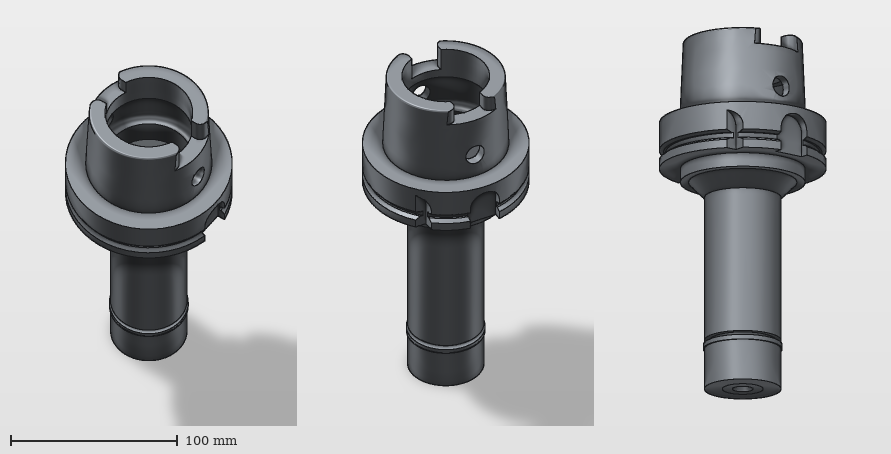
import cadquery as cq

TOTAL_HEIGHT = 215.0

TAPER_LENGTH = 50.0
TAPER_BASE_RADIUS = 37.8
TAPER_RIM_RADIUS = 35.7
RIM_FILLET = 1.5
MOUTH_RADIUS = 26.2
MOUTH_DEPTH = 20.6
CHAMBER_RADIUS = 31.5
CHAMBER_WALL_DEPTH = 40.5
BORE_DEPTH = 61.0
CROSS_HOLE_RADIUS = 6.2
CROSS_HOLE_DEPTH = 34.8

NOTCH_HALF_WIDTH = 9.9
NOTCH_CORNER_RADIUS = 4.5
NOTCH_FLAT_X = 32.0
NOTCH_FLAT_HALF_WIDTH = 19.4
LEFT_NOTCH_DEPTH = 9.9
RIGHT_NOTCH_DEPTH = 15.0

FLANGE_DIAMETER = 100.0
FLANGE_RADIUS = FLANGE_DIAMETER / 2
FLANGE_HEIGHT = 28.4
FLANGE_TOP_Z = TOTAL_HEIGHT - TAPER_LENGTH
FLANGE_BOTTOM_Z = FLANGE_TOP_Z - FLANGE_HEIGHT
GROOVE_RADIUS = 46.2
GROOVE_SLOPE_RADIUS = 47.5
GROOVE_TOP_Z = FLANGE_TOP_Z - 17.0
GROOVE_BOTTOM_Z = FLANGE_BOTTOM_Z + 5.2
GROOVE_UPPER_SLOPE = 1.3
GROOVE_LOWER_SLOPE = 1.7

KEYWAY_HALF_WIDTH = 9.9
KEYWAY_CROWN_Z = FLANGE_TOP_Z - 4.5
KEYWAY_FLOOR_X = 44.0
SIDE_KEYWAY_FLOOR_X = 32.2
SIDE_KEYWAY_Y = 41.0

COLLAR_RADIUS = 37.5
COLLAR_HEIGHT = 8.4
COLLAR_BOTTOM_Z = FLANGE_BOTTOM_Z - COLLAR_HEIGHT
SHANK_RADIUS = 23.0
CONE_HEIGHT = 9.5
CONE_TOP_RADIUS = SHANK_RADIUS + CONE_HEIGHT
SHANK_BOTTOM_Z = 30.0
NECK_RADIUS = 19.8
NECK_BOTTOM_Z = 8.5

NUT_RADIUS = SHANK_RADIUS
NUT_HEIGHT = 27.5
NUT_RIM_RADIUS = 23.6
NUT_RIM_HEIGHT = 2.8

COLLET_RADIUS = 12.3
COLLET_BORE_RADIUS = 6.2
COLLET_LENGTH = 40.0


def cylinder(radius, bottom_z, top_z):
    """Upright cylinder on the Z axis."""
    return cq.Workplane("XY").workplane(offset=bottom_z).circle(radius).extrude(top_z - bottom_z)


def turned_holder():
    """Outside of the holder, revolved from its half outline."""
    outline = [
        (0, NECK_BOTTOM_Z),
        (NECK_RADIUS, NECK_BOTTOM_Z),
        (NECK_RADIUS, SHANK_BOTTOM_Z),
        (SHANK_RADIUS, SHANK_BOTTOM_Z),
        (SHANK_RADIUS, COLLAR_BOTTOM_Z - CONE_HEIGHT),
        (CONE_TOP_RADIUS, COLLAR_BOTTOM_Z),
        (COLLAR_RADIUS, COLLAR_BOTTOM_Z),
        (COLLAR_RADIUS, FLANGE_BOTTOM_Z),
        (FLANGE_RADIUS, FLANGE_BOTTOM_Z),
        (FLANGE_RADIUS, GROOVE_BOTTOM_Z),
        (GROOVE_SLOPE_RADIUS, GROOVE_BOTTOM_Z + GROOVE_LOWER_SLOPE),
        (GROOVE_RADIUS, GROOVE_BOTTOM_Z + GROOVE_LOWER_SLOPE),
        (GROOVE_RADIUS, GROOVE_TOP_Z - GROOVE_UPPER_SLOPE),
        (GROOVE_SLOPE_RADIUS, GROOVE_TOP_Z - GROOVE_UPPER_SLOPE),
        (FLANGE_RADIUS, GROOVE_TOP_Z),
        (FLANGE_RADIUS, FLANGE_TOP_Z),
        (TAPER_BASE_RADIUS, FLANGE_TOP_Z),
        (TAPER_RIM_RADIUS, TOTAL_HEIGHT),
        (0, TOTAL_HEIGHT),
    ]
    turned = cq.Workplane("YZ").polyline(outline).close().revolve(360, (0, 0), (0, 1))
    return turned.faces(">Z").edges().fillet(RIM_FILLET)


def holder_bore():
    """Mouth, wider chamber with a rounded lower end, and collet bore, revolved as one cutter."""
    chamber_top_z = TOTAL_HEIGHT - MOUTH_DEPTH
    wall_end_z = TOTAL_HEIGHT - CHAMBER_WALL_DEPTH
    round_end_z = wall_end_z - (CHAMBER_RADIUS - MOUTH_RADIUS)
    bore_floor_z = TOTAL_HEIGHT - BORE_DEPTH
    return (
        cq.Workplane("YZ")
        .moveTo(0, TOTAL_HEIGHT)
        .lineTo(MOUTH_RADIUS, TOTAL_HEIGHT)
        .lineTo(MOUTH_RADIUS, chamber_top_z)
        .lineTo(CHAMBER_RADIUS, chamber_top_z)
        .lineTo(CHAMBER_RADIUS, wall_end_z)
        .tangentArcPoint((MOUTH_RADIUS, round_end_z), relative=False)
        .lineTo(MOUTH_RADIUS, bore_floor_z)
        .lineTo(COLLET_RADIUS, bore_floor_z)
        .lineTo(COLLET_RADIUS, 0)
        .lineTo(0, 0)
        .close()
        .revolve(360, (0, 0), (0, 1))
    )


def cross_hole():
    """Radial hole through both walls of the taper along X."""
    hole_z = TOTAL_HEIGHT - CROSS_HOLE_DEPTH
    return (
        cq.Workplane("YZ")
        .center(0, hole_z)
        .circle(CROSS_HOLE_RADIUS)
        .extrude(TAPER_BASE_RADIUS, both=True)
    )


def rim_notch(depth):
    """Cutter for a driving notch on the +X side; its mouth flares out in two round corners."""
    corner_start_x = NOTCH_FLAT_X - NOTCH_CORNER_RADIUS
    corner_end_y = NOTCH_HALF_WIDTH + NOTCH_CORNER_RADIUS
    return (
        cq.Workplane("XY")
        .workplane(offset=TOTAL_HEIGHT - depth)
        .moveTo(0, -NOTCH_HALF_WIDTH)
        .lineTo(corner_start_x, -NOTCH_HALF_WIDTH)
        .radiusArc((NOTCH_FLAT_X, -corner_end_y), NOTCH_CORNER_RADIUS)
        .lineTo(NOTCH_FLAT_X, -NOTCH_FLAT_HALF_WIDTH)
        .lineTo(FLANGE_RADIUS, -NOTCH_FLAT_HALF_WIDTH)
        .lineTo(FLANGE_RADIUS, NOTCH_FLAT_HALF_WIDTH)
        .lineTo(NOTCH_FLAT_X, NOTCH_FLAT_HALF_WIDTH)
        .lineTo(NOTCH_FLAT_X, corner_end_y)
        .radiusArc((corner_start_x, NOTCH_HALF_WIDTH), NOTCH_CORNER_RADIUS)
        .lineTo(0, NOTCH_HALF_WIDTH)
        .close()
        .extrude(depth)
    )


def keyway(floor_x, center_y):
    """Cutter for a round-topped keyway on the +X side, open at the flange bottom."""
    arch_z = KEYWAY_CROWN_Z - KEYWAY_HALF_WIDTH
    left_y = center_y - KEYWAY_HALF_WIDTH
    right_y = center_y + KEYWAY_HALF_WIDTH
    return (
        cq.Workplane("YZ")
        .workplane(offset=floor_x)
        .moveTo(left_y, FLANGE_BOTTOM_Z)
        .lineTo(left_y, arch_z)
        .threePointArc((center_y, KEYWAY_CROWN_Z), (right_y, arch_z))
        .lineTo(right_y, FLANGE_BOTTOM_Z)
        .close()
        .extrude(FLANGE_RADIUS - floor_x)
    )


def make_holder():
    right_notch = rim_notch(RIGHT_NOTCH_DEPTH)
    left_notch = rim_notch(LEFT_NOTCH_DEPTH).mirror("YZ")
    right_keyway = keyway(KEYWAY_FLOOR_X, 0)
    left_keyway = right_keyway.mirror("YZ")
    side_keyway = keyway(SIDE_KEYWAY_FLOOR_X, SIDE_KEYWAY_Y).mirror("YZ")

    holder = turned_holder().cut(holder_bore()).cut(cross_hole())
    for cutter in (right_notch, left_notch, right_keyway, left_keyway, side_keyway):
        holder = holder.cut(cutter)
    return holder


def make_nut():
    """Cap with a raised rim, recessed for the neck and open in front for the collet."""
    body = cylinder(NUT_RADIUS, 0, NUT_HEIGHT)
    rim = cylinder(NUT_RIM_RADIUS, NUT_HEIGHT - NUT_RIM_HEIGHT, NUT_HEIGHT)
    neck_recess = cylinder(NECK_RADIUS, NECK_BOTTOM_Z, NUT_HEIGHT)
    collet_hole = cylinder(COLLET_RADIUS, 0, NECK_BOTTOM_Z)
    return body.union(rim).cut(neck_recess).cut(collet_hole)


def make_collet():
    """Sleeve that fills the lower end of the holder bore."""
    sleeve = cylinder(COLLET_RADIUS, 0, COLLET_LENGTH)
    return sleeve.cut(cylinder(COLLET_BORE_RADIUS, 0, COLLET_LENGTH))


holder = make_holder()
nut = make_nut()
collet = make_collet()

result = cq.Compound.makeCompound([holder.val(), nut.val(), collet.val()])